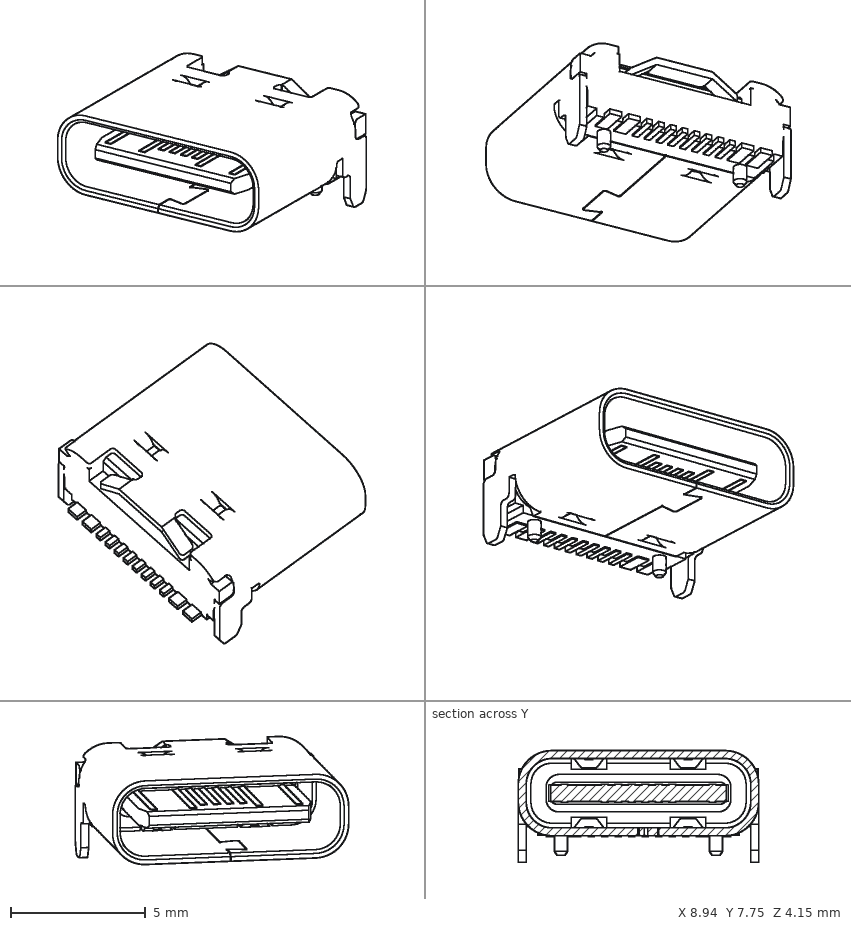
import cadquery as cq
import math


SHELL_WIDTH = 8.94
SHELL_HEIGHT = 3.17
SHELL_DEPTH = 7.295
SHELL_RADIUS = 1.25
WALL = 0.3
LIP_BEVEL = 0.125
LIP_BEVEL_DEPTH = 0.09
HALF_WIDTH = SHELL_WIDTH / 2
MID_Z = SHELL_HEIGHT / 2
INNER_HALF_WIDTH = HALF_WIDTH - WALL
INNER_HALF_HEIGHT = MID_Z - WALL
INNER_RADIUS = SHELL_RADIUS - WALL
INNER_TOP = SHELL_HEIGHT - WALL
ARC_X = HALF_WIDTH - SHELL_RADIUS
ARC_TOP_Z = SHELL_HEIGHT - SHELL_RADIUS
RELIEF_START = 5.3
FLOOR_END = 5.78
RELIEF_INNER_X = 3.28
RELIEF_TILT = math.radians(25)
RELIEF_ROUND = 0.09

DIMPLE_X = 1.84
DIMPLE_LENGTH = 0.55
DIMPLE_START = RELIEF_START - DIMPLE_LENGTH
DIMPLE_DEPTH = 0.34
DIMPLE_GROOVE_TOP = 1.26
DIMPLE_GROOVE_FLAT = 0.28
DIMPLE_ROLL_RADIUS = 0.44
DIMPLE_ROLL_ANGLE = math.radians(54)
DIMPLE_BUMP_TOP = 1.1
DIMPLE_BUMP_FLAT = 0.58
DIMPLE_ROUND = 0.13
DIMPLE_NOTCH_WIDTH = 1.32
DIMPLE_NOTCH_DEPTH = 0.39
DIMPLE_CLEARANCE = 0.09
DIMPLE_NOTCH_END = RELIEF_START + DIMPLE_CLEARANCE

FACE_Y = 4.65
FACE_CHAMFER = 0.17
COLLAR_HALF_WIDTH = 3.43
COLLAR_HALF_HEIGHT = 0.7
COLLAR_RADIUS = 0.48
COLLAR_BEVEL = 0.1
COLLAR_TIP_HALF_HEIGHT = 0.41
COLLAR_TIP_RADIUS = 0.23
COLLAR_TAPER_LENGTH = 0.18

TIP_Y = 0.33
TONGUE_HALF_HEIGHT = 0.31
TIP_HALF_HEIGHT = 0.17
TIP_BEVEL_DEPTH = 0.18
TIP_HALF_WIDTH = 3.01
TONGUE_HALF_WIDTH = 3.26
FLARE_MID = (3.11, 0.67)
FLARE_END_Y = 1.16

PITCH = 0.5
SIGNAL_X = [PITCH / 2, 1.5 * PITCH]
POWER_X = [2.5 * PITCH, 5.5 * PITCH]
PAD_WIDTH = 0.25
PAD_RISE = 0.03
POWER_PAD_Y = 0.805
SIGNAL_PAD_Y = 1.34
TAIL_START = 6.62
TAIL_END = 7.75
TAIL_BOTTOM = -0.03
TAIL_THICKNESS = 0.2
NARROW_TAIL_WIDTH = 0.23
NARROW_TAIL_X = [(i + 0.5) * PITCH for i in range(4)]
WIDE_TAIL_X = [2.4, 3.18]

BASE_HALF_WIDTH = 3.75
BASE_BOTTOM = 0.03
BASE_TOP = 0.33
WING_HALF_WIDTH = 4.11
PEG_X = 2.88
PEG_Y = 6.26
PEG_RADIUS = 0.25
PEG_BOTTOM = -0.72
PEG_TIP_LENGTH = 0.15
PEG_TIP_INSET = 0.11

LEG_BOTTOM = -0.98
LEG_THICKNESS = WALL
LEG_FRONT = 6.2
LEG_ROOT_FRONT = 5.69
LEG_STEP_Z = 0.44
LEG_TAPER_Z = -0.54
LEG_TIP_INSET = 0.23
LEG_TIP_ROUND = 0.16
LEG_STEP_ROUND = 0.18

SIDE_NOTCH_BOTTOM = 1.66
SIDE_NOTCH_TOP = 2.71
NOTCH_ANGLE = math.asin((SIDE_NOTCH_TOP - ARC_TOP_Z) / SHELL_RADIUS)
MID_ARC = SHELL_RADIUS - WALL / 2
REAR_NOTCH_START = 6.57
SIDE_NOTCH_ROUND = 0.18
LUG_HALF_WIDTH = 4.44
LUG_BOTTOM = 1.69
LUG_TOP = 2.485

ROOF_NOTCH_OUTER = 2.77
ROOF_RELIEF_X = 1.06
ROOF_NOTCH_START = 6.1
ROOF_NOTCH_ROUND = 0.13
ROOF_MOUTH_ROUND = 0.11
ROOF_RELIEF_END = 6.53
TAB_HALF_WIDTH = 1.18
TAB_END = 7.23
EAR_START = 6.6
EAR_OUTER = 2.29
EAR_DROP = 0.73
EAR_ROUND = 0.13
POCKET_FLOOR = 2.15
POCKET_BEVEL = 0.15

SEAM_GAP = 0.03
SEAM_KEY_CENTRE = 1.475
SEAM_KEY_LENGTH = 0.75
SEAM_NECK_HALF = 0.7
SEAM_HEAD_HALF = 0.89
SEAM_ROUND = 0.11


def box(x0, x1, y0, y1, z0, z1):
    """Axis-aligned box between two corners."""
    return cq.Workplane("XY").box(x1 - x0, y1 - y0, z1 - z0, centered=False).translate((x0, y0, z0))


def both_sides(solid):
    """The solid together with its mirror image across x = 0."""
    return solid.union(solid.mirror("YZ"))


def rounded(half_width, half_height, radius):
    """Rounded rectangle centred on the origin."""
    return cq.Sketch().rect(2 * half_width, 2 * half_height).vertices().fillet(radius)


def mouth_plane(y):
    """Plane across the part at depth y, centred on the mouth axis and facing forward."""
    return cq.Workplane("XZ", origin=(0, y, MID_Z))


def tube(half_width, half_height, radius, y0, y1):
    """Solid rounded-rectangle bar from y0 to y1."""
    return mouth_plane(y0).placeSketch(rounded(half_width, half_height, radius)).extrude(y0 - y1)


def taper(near, far):
    """Loft between two rounded rectangles, each (half_width, half_height, radius, y)."""
    near_y = near[3]
    sketches = []
    for half_width, half_height, radius, y in (near, far):
        flat = rounded(half_width, half_height, radius)
        sketches.append(flat.moved(cq.Location(cq.Vector(0, 0, near_y - y))))
    return mouth_plane(near_y).placeSketch(*sketches).loft()


def make_corner_relief():
    """Cutter for the slot in front of the solder leg, with a leaning inner end."""
    outline = [
        (RELIEF_INNER_X + SHELL_RADIUS * math.tan(RELIEF_TILT), SHELL_RADIUS),
        (HALF_WIDTH, SHELL_RADIUS), (HALF_WIDTH, 0), (RELIEF_INNER_X, 0)]
    slot = cq.Workplane("XZ", origin=(0, RELIEF_START, 0)).polyline(outline).close()
    slot = slot.extrude(RELIEF_START - FLOOR_END)
    return slot.faces("+Z").edges("|X").edges("<Y").fillet(RELIEF_ROUND)


def make_shell():
    """Hollow shell with bevelled mouth, slotted lower corners and a floor that ends early."""
    shell = tube(HALF_WIDTH, MID_Z, SHELL_RADIUS, 0, SHELL_DEPTH)
    shell = shell.cut(tube(INNER_HALF_WIDTH, INNER_HALF_HEIGHT, INNER_RADIUS, 0, SHELL_DEPTH))
    shell = shell.cut(taper(
        (INNER_HALF_WIDTH + LIP_BEVEL, INNER_HALF_HEIGHT + LIP_BEVEL, INNER_RADIUS + LIP_BEVEL, 0),
        (INNER_HALF_WIDTH, INNER_HALF_HEIGHT, INNER_RADIUS, LIP_BEVEL_DEPTH)))
    shell = shell.cut(both_sides(make_corner_relief()))
    return shell.cut(box(-HALF_WIDTH, HALF_WIDTH, FLOOR_END, SHELL_DEPTH, 0, SHELL_RADIUS - RELIEF_ROUND))


def make_seam():
    """Narrow gap along the floor centre line, stepping sideways around a dovetail key."""
    front = SEAM_KEY_CENTRE - SEAM_NECK_HALF
    back = SEAM_KEY_CENTRE + SEAM_NECK_HALF
    head_front = SEAM_KEY_CENTRE - SEAM_HEAD_HALF
    head_back = SEAM_KEY_CENTRE + SEAM_HEAD_HALF
    outline = [(0, front), (SEAM_KEY_LENGTH, head_front), (SEAM_KEY_LENGTH, head_back), (0, back)]
    outer = cq.Workplane("XY").polyline(outline).close().extrude(WALL)
    outer = outer.edges("|Z and >X").fillet(SEAM_ROUND)
    inner = cq.Workplane("XY").polyline(outline).close().offset2D(-SEAM_GAP, "intersection").extrude(WALL)
    inner = inner.edges("|Z and >X").fillet(SEAM_ROUND - SEAM_GAP)
    neck = box(0, SEAM_GAP, front + SEAM_GAP, back - SEAM_GAP, 0, WALL)
    gap = box(-SEAM_GAP / 2, SEAM_GAP / 2, 0, FLOOR_END, 0, WALL)
    gap = gap.cut(box(-SEAM_GAP, SEAM_GAP, front, back, 0, WALL))
    return gap.union(outer.cut(inner).cut(neck))


def dimple_plane(z):
    """Cross-section plane of the right-hand roof dimple at its front end."""
    return cq.Workplane("XZ", origin=(DIMPLE_X, DIMPLE_START, z))


def make_dimple_bump():
    """Rounded trapezoid bulging inward from the roof."""
    outline = [
        (-DIMPLE_BUMP_TOP / 2, 0), (DIMPLE_BUMP_TOP / 2, 0),
        (DIMPLE_BUMP_FLAT / 2, -DIMPLE_DEPTH), (-DIMPLE_BUMP_FLAT / 2, -DIMPLE_DEPTH)]
    bump = dimple_plane(INNER_TOP).polyline(outline).close().extrude(-DIMPLE_LENGTH)
    return bump.edges("|Y and <Z").fillet(DIMPLE_ROUND)


def make_dimple_groove():
    """Groove in the outer face: rolled edges, steep flanks and a narrow flat bottom."""
    half_roll = DIMPLE_ROLL_ANGLE / 2
    roll_mid = (DIMPLE_GROOVE_TOP / 2 - DIMPLE_ROLL_RADIUS * math.sin(half_roll),
                -DIMPLE_ROLL_RADIUS * (1 - math.cos(half_roll)))
    roll_end = (DIMPLE_GROOVE_TOP / 2 - DIMPLE_ROLL_RADIUS * math.sin(DIMPLE_ROLL_ANGLE),
                -DIMPLE_ROLL_RADIUS * (1 - math.cos(DIMPLE_ROLL_ANGLE)))
    groove = (
        dimple_plane(SHELL_HEIGHT)
        .moveTo(DIMPLE_GROOVE_TOP / 2, 0)
        .threePointArc(roll_mid, roll_end)
        .lineTo(DIMPLE_GROOVE_FLAT / 2, -DIMPLE_DEPTH)
        .lineTo(-DIMPLE_GROOVE_FLAT / 2, -DIMPLE_DEPTH)
        .lineTo(-roll_end[0], roll_end[1])
        .threePointArc((-roll_mid[0], roll_mid[1]), (-DIMPLE_GROOVE_TOP / 2, 0))
        .close()
    )
    return groove.extrude(-DIMPLE_LENGTH)


def all_dimples(roof_feature):
    """Copy a roof dimple feature to both sides and to the floor."""
    pair = both_sides(roof_feature)
    return pair.union(pair.mirror("XY", (0, 0, MID_Z)))


def make_housing():
    """Moulded body filling the rear of the shell, with collar, base, wings and pegs."""
    body = tube(INNER_HALF_WIDTH, INNER_HALF_HEIGHT, INNER_RADIUS, FACE_Y, SHELL_DEPTH)
    body = body.faces("<Y").chamfer(FACE_CHAMFER)
    notch = box(DIMPLE_X - DIMPLE_NOTCH_WIDTH / 2, DIMPLE_X + DIMPLE_NOTCH_WIDTH / 2,
                FACE_Y, DIMPLE_NOTCH_END, INNER_TOP - DIMPLE_NOTCH_DEPTH, INNER_TOP)
    body = body.cut(all_dimples(notch))
    bevel_y = FACE_Y - COLLAR_BEVEL
    bevel_ring = (COLLAR_HALF_WIDTH - COLLAR_BEVEL, COLLAR_HALF_HEIGHT - COLLAR_BEVEL,
                  COLLAR_RADIUS - COLLAR_BEVEL, bevel_y)
    body = body.union(taper((COLLAR_HALF_WIDTH, COLLAR_HALF_HEIGHT, COLLAR_RADIUS, FACE_Y), bevel_ring))
    body = body.union(taper(bevel_ring, (TONGUE_HALF_WIDTH, COLLAR_TIP_HALF_HEIGHT,
                                         COLLAR_TIP_RADIUS, bevel_y - COLLAR_TAPER_LENGTH)))
    body = body.union(box(-BASE_HALF_WIDTH, BASE_HALF_WIDTH, FLOOR_END, SHELL_DEPTH, BASE_BOTTOM, BASE_TOP))
    body = body.union(box(-WING_HALF_WIDTH, WING_HALF_WIDTH, FLOOR_END, SHELL_DEPTH,
                          BASE_TOP, SHELL_RADIUS))
    peg = cq.Workplane("XY", origin=(PEG_X, PEG_Y, PEG_BOTTOM)).circle(PEG_RADIUS)
    peg = peg.extrude(BASE_TOP - PEG_BOTTOM).faces("<Z").chamfer(PEG_TIP_LENGTH, PEG_TIP_INSET)
    return body.union(both_sides(peg))


def make_tongue():
    """Flat tongue, bevelled at the tip and flaring wider behind it."""
    plan = (
        cq.Workplane("XY", origin=(0, 0, MID_Z - TONGUE_HALF_HEIGHT))
        .moveTo(0, TIP_Y)
        .lineTo(TIP_HALF_WIDTH, TIP_Y)
        .threePointArc(FLARE_MID, (TONGUE_HALF_WIDTH, FLARE_END_Y))
        .lineTo(TONGUE_HALF_WIDTH, FACE_Y)
        .lineTo(0, FACE_Y)
        .close()
        .extrude(2 * TONGUE_HALF_HEIGHT)
    )
    bevel_y = TIP_Y + TIP_BEVEL_DEPTH
    profile = [
        (TIP_Y, -TIP_HALF_HEIGHT), (bevel_y, -TONGUE_HALF_HEIGHT), (FACE_Y, -TONGUE_HALF_HEIGHT),
        (FACE_Y, TONGUE_HALF_HEIGHT), (bevel_y, TONGUE_HALF_HEIGHT), (TIP_Y, TIP_HALF_HEIGHT)]
    side = cq.Workplane("YZ", origin=(0, 0, MID_Z)).polyline(profile).close()
    return both_sides(plan.intersect(side.extrude(HALF_WIDTH)))


def make_contacts():
    """Contact pads on both tongue faces and the solder tails at the rear."""
    parts = []
    pad_half_height = TONGUE_HALF_HEIGHT + PAD_RISE
    for places, start in ((POWER_X, POWER_PAD_Y), (SIGNAL_X, SIGNAL_PAD_Y)):
        for x in places:
            parts.append(box(x - PAD_WIDTH / 2, x + PAD_WIDTH / 2, start, FACE_Y,
                             MID_Z - pad_half_height, MID_Z + pad_half_height))
    for places, width in ((NARROW_TAIL_X, NARROW_TAIL_WIDTH), (WIDE_TAIL_X, PITCH)):
        for x in places:
            parts.append(box(x - width / 2, x + width / 2, TAIL_START, TAIL_END,
                             TAIL_BOTTOM, TAIL_BOTTOM + TAIL_THICKNESS))
    contacts = parts[0]
    for part in parts[1:]:
        contacts = contacts.union(part)
    return both_sides(contacts)


def make_leg():
    """Solder leg hanging from the flat of the shell side, on the +X side."""
    outline = [
        (LEG_ROOT_FRONT, SHELL_RADIUS), (LEG_ROOT_FRONT, LEG_STEP_Z), (LEG_FRONT, LEG_STEP_Z),
        (LEG_FRONT, LEG_TAPER_Z), (LEG_FRONT + LEG_TIP_INSET, LEG_BOTTOM),
        (SHELL_DEPTH - LEG_TIP_INSET, LEG_BOTTOM), (SHELL_DEPTH, LEG_TAPER_Z),
        (SHELL_DEPTH, SHELL_RADIUS)]
    leg = cq.Workplane("YZ", origin=(HALF_WIDTH - LEG_THICKNESS, 0, 0)).polyline(outline).close()
    leg = leg.extrude(LEG_THICKNESS)
    leg = leg.edges("|X").edges("<Z").fillet(LEG_TIP_ROUND)
    leg_x = HALF_WIDTH - LEG_THICKNESS / 2
    for y in (LEG_ROOT_FRONT, LEG_FRONT):
        step_corner = cq.NearestToPointSelector((leg_x, y, LEG_STEP_Z))
        leg = leg.edges("|X").edges(step_corner).fillet(LEG_STEP_ROUND)
    return leg


def make_side_notch():
    """Cutter for the rear side notch, with a radial top, on the +X side."""
    inner_x = INNER_HALF_WIDTH - INNER_RADIUS / 2
    outline = [
        (inner_x, ARC_TOP_Z + (inner_x - ARC_X) * math.tan(NOTCH_ANGLE)),
        (HALF_WIDTH, ARC_TOP_Z + SHELL_RADIUS * math.tan(NOTCH_ANGLE)),
        (HALF_WIDTH, SIDE_NOTCH_BOTTOM), (inner_x, SIDE_NOTCH_BOTTOM)]
    notch = cq.Workplane("XZ", origin=(0, REAR_NOTCH_START, 0)).polyline(outline).close()
    notch = notch.extrude(REAR_NOTCH_START - SHELL_DEPTH)
    return notch.faces(">Z or <Z").edges("<Y").fillet(SIDE_NOTCH_ROUND)


def make_lug():
    """Housing lug that fills the side notch, on the +X side."""
    lug = box(INNER_HALF_WIDTH - WALL, LUG_HALF_WIDTH, REAR_NOTCH_START, SHELL_DEPTH, LUG_BOTTOM, LUG_TOP)
    return lug.edges("|X and <Y").fillet(SIDE_NOTCH_ROUND)


def make_roof_notch():
    """Cutter for the rear roof notch beside the tab, on the +X side."""
    notch = box(TAB_HALF_WIDTH, ROOF_NOTCH_OUTER, ROOF_RELIEF_END, SHELL_DEPTH, INNER_TOP, SHELL_HEIGHT)
    relief = box(ROOF_RELIEF_X, ROOF_NOTCH_OUTER, ROOF_NOTCH_START, ROOF_RELIEF_END, INNER_TOP, SHELL_HEIGHT)
    return notch.union(relief.edges("|Z").edges("<Y or <X").fillet(ROOF_NOTCH_ROUND))


def make_ear():
    """Sheet ear bent down and outward from the tab edge, on the +X side."""
    outline = [
        (TAB_HALF_WIDTH, SHELL_HEIGHT), (EAR_OUTER, SHELL_HEIGHT - EAR_DROP),
        (EAR_OUTER, SHELL_HEIGHT - EAR_DROP - WALL), (TAB_HALF_WIDTH, INNER_TOP)]
    ear = cq.Workplane("XZ", origin=(0, EAR_START, 0)).polyline(outline).close()
    ear = ear.extrude(EAR_START - TAB_END)
    blank = box(0, EAR_OUTER, EAR_START, TAB_END, 0, SHELL_HEIGHT)
    return ear.intersect(blank.edges("|Z and >X").fillet(EAR_ROUND))


def make_pocket():
    """Cutter for the rear pocket in the housing, below the tab and ears."""
    outline = [
        (EAR_START - POCKET_BEVEL, INNER_TOP), (EAR_START, INNER_TOP - POCKET_BEVEL),
        (EAR_START, POCKET_FLOOR), (SHELL_DEPTH, POCKET_FLOOR), (SHELL_DEPTH, INNER_TOP)]
    pocket = cq.Workplane("YZ", origin=(-ROOF_NOTCH_OUTER, 0, 0)).polyline(outline).close()
    return pocket.extrude(2 * ROOF_NOTCH_OUTER)


def round_notch_mouths(shell):
    """Round the rear corners where the side and roof notches open."""
    rounds = [
        (HALF_WIDTH - WALL / 2, SIDE_NOTCH_BOTTOM, SIDE_NOTCH_ROUND),
        (ARC_X + MID_ARC * math.cos(NOTCH_ANGLE), ARC_TOP_Z + MID_ARC * math.sin(NOTCH_ANGLE),
         SIDE_NOTCH_ROUND),
        (ROOF_NOTCH_OUTER, SHELL_HEIGHT - WALL / 2, ROOF_MOUTH_ROUND)]
    for side in (-1, 1):
        for x, z, radius in rounds:
            corner = cq.NearestToPointSelector((side * x, SHELL_DEPTH, z))
            shell = shell.edges(corner).fillet(radius)
    return shell


shell = make_shell().cut(make_seam())
shell = shell.union(both_sides(make_leg()))
shell = shell.cut(both_sides(make_side_notch())).cut(both_sides(make_roof_notch()))
shell = shell.cut(box(-TAB_HALF_WIDTH, TAB_HALF_WIDTH, TAB_END, SHELL_DEPTH, INNER_TOP, SHELL_HEIGHT))
shell = round_notch_mouths(shell)
shell = shell.union(both_sides(make_ear()))
shell = shell.union(all_dimples(make_dimple_bump()))
shell = shell.cut(all_dimples(make_dimple_groove()))

housing = make_housing().cut(make_pocket()).union(both_sides(make_lug()))

result = housing.union(shell).union(make_tongue()).union(make_contacts())